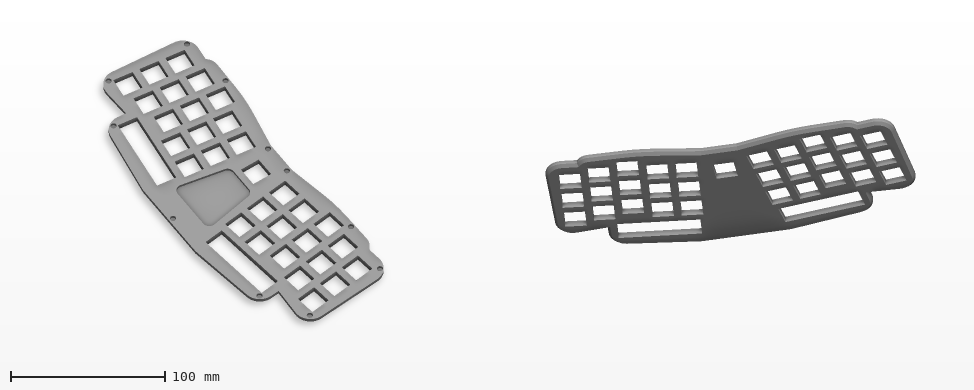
import cadquery as cq
import math

plate_width = 97.0
thickness = 4.5
bottom_chamfer = 2.0
half_width = plate_width / 2
wing_radius = 11.5
shoulder_radius = 9.5
bend_radius = 143.0
palm_radius = 11.5

key_size = 14.0
key_pitch = 19.0
key_tilt = 7.0
grid_origin = (-26.7, 6.5)
rows = (-1, 0, 1)
key_stagger = 4.8
column_staggers = (0, 0, key_stagger, 0, -key_stagger)
space_length = 54.5
space_offset = (-22.6, -2 * key_pitch)
center_key_y = 20.0

pocket_depth = 2.0
pocket_back_y = 8.3
pocket_front_y = -31.7
pocket_back_half = 12.6
pocket_front_half = 20.3
pocket_radius = 4.8

hole_diameter = 4.0
hole_depth = 2.0
side_hole_points = [(-109.5, 41.7), (-114.4, -17.0), (-83.0, -34.8), (-71.2, 45.5), (-10.7, 37.0)]
front_hole_point = (0, -45.5)

left_corners = [
    (-12.0, 40.0, 0),
    (-51.2, 47.7, bend_radius),
    (-89.0, 48.5, shoulder_radius),
    (-93.0, 44.8, 0),
    (-114.5, 47.5, wing_radius),
    (-120.0, -23.8, wing_radius),
    (-86.7, -22.5, 0),
    (-88.2, -39.3, palm_radius),
    (-29.8, -half_width, 0),
]


def mirrored(corners):
    """Close a left-half corner list with its mirror image across X = 0."""
    return corners + [(-x, y, radius) for x, y, radius in reversed(corners)]


def rounded_polygon(corners):
    """Closed wire through (x, y, radius) corners, with tangent arcs where the radius is not zero."""
    count = len(corners)
    spans = []
    for i, (x, y, radius) in enumerate(corners):
        corner = cq.Vector(x, y)
        to_previous = (cq.Vector(*corners[i - 1][:2]) - corner).normalized()
        to_next = (cq.Vector(*corners[(i + 1) % count][:2]) - corner).normalized()
        half_angle = to_previous.getAngle(to_next) / 2
        tangent_length = radius / math.tan(half_angle)
        bisector = (to_previous + to_next).normalized()
        arc_middle = corner + bisector * (radius / math.sin(half_angle) - radius)
        spans.append((corner + to_previous * tangent_length, arc_middle, corner + to_next * tangent_length))
    path = cq.Workplane("XY").moveTo(*spans[0][2].toTuple()[:2])
    for (start, middle, end), (_, _, radius) in zip(spans[1:] + spans[:1], corners[1:] + corners[:1]):
        path = path.lineTo(start.x, start.y)
        if radius > 0:
            path = path.threePointArc((middle.x, middle.y), (end.x, end.y))
    return path.close()


def left_grid_point(along, across):
    """Plate position of a point in the tilted grid of the left half."""
    angle = math.radians(-key_tilt)
    x = grid_origin[0] + along * math.cos(angle) - across * math.sin(angle)
    y = grid_origin[1] + along * math.sin(angle) + across * math.cos(angle)
    return x, y


def left_opening(along, across, length):
    """Through cutter for one opening of the left grid."""
    cutter = cq.Workplane("XY").box(length, key_size, thickness, centered=(True, True, False))
    cutter = cutter.rotate((0, 0, 0), (0, 0, 1), -key_tilt)
    return cutter.translate(left_grid_point(along, across))


def left_openings():
    cutters = left_opening(*space_offset, space_length)
    for column, stagger in enumerate(column_staggers):
        for row in rows:
            cutters = cutters.add(left_opening(-column * key_pitch, row * key_pitch + stagger, key_size))
    return cutters.combine()


def center_opening():
    cutter = cq.Workplane("XY").box(key_size, key_size, thickness, centered=(True, True, False))
    return cutter.translate((0, center_key_y))


def pocket():
    corners = mirrored([
        (-pocket_back_half, pocket_back_y, pocket_radius),
        (-pocket_front_half, pocket_front_y, pocket_radius),
    ])
    return rounded_polygon(corners).extrude(pocket_depth).translate((0, 0, thickness - pocket_depth))


def rim_holes():
    points = side_hole_points + [(-x, y) for x, y in side_hole_points] + [front_hole_point]
    floor = cq.Workplane("XY").workplane(offset=thickness - hole_depth)
    return floor.pushPoints(points).circle(hole_diameter / 2).extrude(hole_depth)


plate = rounded_polygon(mirrored(left_corners)).extrude(thickness)
plate = plate.faces("<Z").chamfer(bottom_chamfer)

key_openings = left_openings()
plate = plate.cut(key_openings).cut(key_openings.mirror("YZ")).cut(center_opening())
result = plate.cut(pocket()).cut(rim_holes())